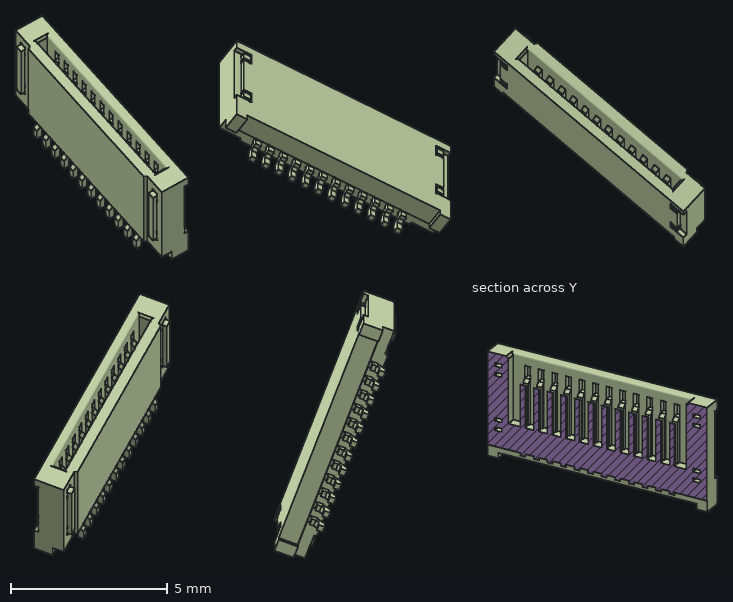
import cadquery as cq


HOUSING_WIDTH = 8.1
HOUSING_DEPTH = 1.05
UPPER_HEIGHT = 3.35
SKIRT_HEIGHT = 3.55
FOOT_HEIGHT = 3.75
SKIRT_DEPTH = 0.66
FOOT_WIDTH = 0.4

PANEL_INSET = 0.8
PANEL_BEVEL = 0.06
PANEL_RISE = 0.1

POCKET_WIDTH = 6.54
POCKET_BACK = 0.35
POCKET_FRONT = 0.75
POCKET_HEIGHT = 2.4
MOUTH_FLARE = 0.08
MOUTH_END_FLARE = 0.08

CONTACT_COUNT = 12
CONTACT_PITCH = 0.5
CONTACT_WIDTH = 0.2
TAIL_END = 4.05
TAIL_FRONT = 1.2
TAIL_THICKNESS = 0.2
TAIL_NECK_FRONT = 0.95
TAIL_NECK_BACK = 0.76
TAIL_NECK_BOTTOM = 3.66
TAIL_KNEE = 0.1
TAIL_ROOT_BOTTOM = 3.44
TAIL_BEND_BOTTOM = 3.65
TIP_TOP = 0.8
TIP_FLAT = 0.025
GROOVE_TOP = 0.36
GROOVE_DEPTH = 0.2
BACK_PRONG = 0.12
FRONT_PRONG = 0.17

CLIP_INSET = 0.27
CLIP_WIDTH = 0.25
CLIP_FRONT = 1.2
CLIP_TOP = 0.46
CLIP_HEIGHT = 2.2
CLIP_LEG = 0.24
CLIP_GAP = 0.1
RECESS_DEPTH = 0.155
WINDOW_CHAMFER = 0.05

HALF_WIDTH = HOUSING_WIDTH / 2
WINDOW_HEIGHT = CLIP_LEG + 2 * CLIP_GAP
RECESS_TOP = CLIP_TOP - CLIP_GAP
RECESS_HEIGHT = CLIP_HEIGHT + 2 * CLIP_GAP


def block(x_min, width, back, front, top, height):
    """Box given by its left end, depths behind the back face and drop below the mating face."""
    return cq.Workplane("XY").box(width, front - back, height, centered=False).translate(
        (x_min, -front, -top - height)
    )


def profile_bar(points, x_centre, width):
    """Extrude a (depth, drop) outline along X."""
    outline = [(-depth, -drop) for depth, drop in points]
    bar = cq.Workplane("YZ").polyline(outline).close().extrude(width / 2, both=True)
    return bar.translate((x_centre, 0, 0))


def both_ends(left):
    """The left-hand shape together with its mirror image."""
    return left.union(left.mirror("YZ"))


def make_housing():
    upper = block(-HALF_WIDTH, HOUSING_WIDTH, 0, HOUSING_DEPTH, 0, UPPER_HEIGHT)
    skirt = block(-HALF_WIDTH, HOUSING_WIDTH, 0, SKIRT_DEPTH, 0, SKIRT_HEIGHT)
    foot = block(-HALF_WIDTH, FOOT_WIDTH, 0, SKIRT_DEPTH, 0, FOOT_HEIGHT)
    return upper.union(skirt).union(both_ends(foot)).union(make_panel())


def make_panel():
    base = HALF_WIDTH - PANEL_INSET
    face = base - PANEL_BEVEL
    front = -HOUSING_DEPTH - PANEL_RISE
    outline = [
        (-base, -SKIRT_DEPTH),
        (-base, -HOUSING_DEPTH),
        (-face, front),
        (face, front),
        (base, -HOUSING_DEPTH),
        (base, -SKIRT_DEPTH),
    ]
    return cq.Workplane("XY").polyline(outline).close().extrude(-UPPER_HEIGHT)


def make_pocket():
    cavity = block(-POCKET_WIDTH / 2, POCKET_WIDTH, POCKET_BACK, POCKET_FRONT, 0, POCKET_HEIGHT)
    return cavity.union(make_mouth())


def make_mouth():
    """Mouth with rounded long lips and straight sloping ends."""
    flared_width = POCKET_WIDTH + 2 * MOUTH_END_FLARE
    lips = (
        cq.Workplane("YZ")
        .moveTo(-POCKET_FRONT - MOUTH_FLARE, 0)
        .radiusArc((-POCKET_FRONT, -MOUTH_FLARE), MOUTH_FLARE)
        .lineTo(-POCKET_BACK, -MOUTH_FLARE)
        .radiusArc((-POCKET_BACK + MOUTH_FLARE, 0), MOUTH_FLARE)
        .close()
        .extrude(flared_width / 2, both=True)
    )
    ends = (
        cq.Workplane("XZ")
        .polyline([
            (-flared_width / 2, 0),
            (flared_width / 2, 0),
            (POCKET_WIDTH / 2, -MOUTH_END_FLARE),
            (-POCKET_WIDTH / 2, -MOUTH_END_FLARE),
        ])
        .close()
        .extrude(HOUSING_DEPTH)
    )
    return lips.intersect(ends)


def make_contact(x_centre):
    tail_back = TAIL_FRONT - TAIL_THICKNESS
    tail = profile_bar(
        [
            (SKIRT_DEPTH, UPPER_HEIGHT),
            (TAIL_NECK_FRONT, UPPER_HEIGHT),
            (TAIL_NECK_FRONT, TAIL_ROOT_BOTTOM),
            (TAIL_FRONT, TAIL_BEND_BOTTOM),
            (TAIL_FRONT, TAIL_END),
            (tail_back, TAIL_END),
            (tail_back, TAIL_NECK_BOTTOM + TAIL_KNEE),
            (tail_back - TAIL_KNEE, TAIL_NECK_BOTTOM),
            (TAIL_NECK_BACK, TAIL_NECK_BOTTOM),
            (TAIL_NECK_BACK, TAIL_ROOT_BOTTOM),
            (SKIRT_DEPTH, TAIL_ROOT_BOTTOM),
        ],
        x_centre,
        CONTACT_WIDTH,
    )
    return tail.union(make_back_prong(x_centre)).union(make_front_prong(x_centre))


def make_back_prong(x_centre):
    """Prong seated in its groove, its tip sloped at 45 degrees to lead the cable in."""
    groove_back = POCKET_BACK - GROOVE_DEPTH
    prong_face = POCKET_BACK + BACK_PRONG
    return profile_bar(
        [
            (groove_back, TIP_TOP),
            (POCKET_BACK, TIP_TOP),
            (prong_face, TIP_TOP + BACK_PRONG),
            (prong_face, POCKET_HEIGHT),
            (groove_back, POCKET_HEIGHT),
        ],
        x_centre,
        CONTACT_WIDTH,
    )


def make_front_prong(x_centre):
    """Prong along the front pocket wall with a 45 degree lead-in and a blunt nose."""
    prong_face = POCKET_FRONT - FRONT_PRONG
    slope_reach = FRONT_PRONG - TIP_FLAT
    return profile_bar(
        [
            (POCKET_FRONT, TIP_TOP),
            (prong_face + TIP_FLAT, TIP_TOP + slope_reach),
            (prong_face, TIP_TOP + slope_reach),
            (prong_face, POCKET_HEIGHT),
            (POCKET_FRONT, POCKET_HEIGHT),
        ],
        x_centre,
        CONTACT_WIDTH,
    )


def make_groove(x_centre):
    return block(
        x_centre - CONTACT_WIDTH / 2,
        CONTACT_WIDTH,
        POCKET_BACK - GROOVE_DEPTH,
        POCKET_BACK,
        GROOVE_TOP,
        POCKET_HEIGHT - GROOVE_TOP,
    )


def leg_tops():
    return [CLIP_TOP, CLIP_TOP + CLIP_HEIGHT - CLIP_LEG]


def make_end_recess():
    """Shallow back recess at the left end and the two clip windows it opens into."""
    recess = block(-HALF_WIDTH, CLIP_INSET, 0, RECESS_DEPTH, RECESS_TOP, RECESS_HEIGHT)
    left = -HALF_WIDTH + CLIP_INSET
    right = left + CLIP_WIDTH
    for leg_top in leg_tops():
        window_top = leg_top - CLIP_GAP
        outline = [
            (left, 0),
            (right + WINDOW_CHAMFER, 0),
            (right, -WINDOW_CHAMFER),
            (right, -HOUSING_DEPTH),
            (left, -HOUSING_DEPTH),
        ]
        window = cq.Workplane("XY").polyline(outline).close().extrude(-WINDOW_HEIGHT)
        recess = recess.union(window.translate((0, 0, -window_top)))
    return recess


def make_clip():
    """Left-hand clip: a front bar with two legs reaching the back face."""
    left = -HALF_WIDTH + CLIP_INSET
    clip = block(left, CLIP_WIDTH, HOUSING_DEPTH, CLIP_FRONT, CLIP_TOP, CLIP_HEIGHT)
    for leg_top in leg_tops():
        clip = clip.union(block(left, CLIP_WIDTH, 0, CLIP_FRONT, leg_top, CLIP_LEG))
    return clip


result = make_housing().cut(make_pocket()).cut(both_ends(make_end_recess()))
result = result.union(both_ends(make_clip()))
for index in range(CONTACT_COUNT):
    contact_x = (index - (CONTACT_COUNT - 1) / 2) * CONTACT_PITCH
    result = result.cut(make_groove(contact_x)).union(make_contact(contact_x))